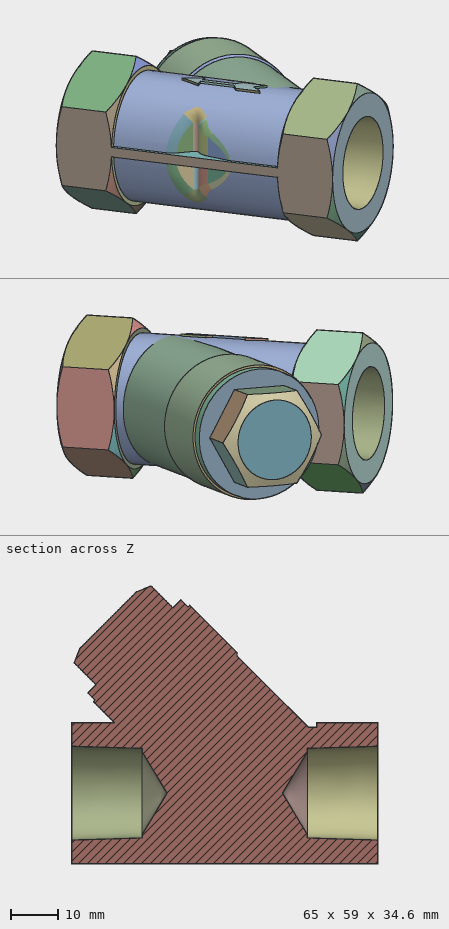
import cadquery as cq
import math

run_length = 65.0
body_diameter = 28.0
body_radius = body_diameter / 2
hex_flats = 30.0
hex_length = 13.0
hex_chamfer_angle = 30.0

socket_mouth_radius = 9.95
socket_floor_radius = 9.5
socket_depth = 14.95
drill_radius = 8.8
drill_point_angle = 118.0
drill_cone_depth = drill_radius / math.tan(math.radians(drill_point_angle / 2))

branch_angle = 135.0
branch_x = 12.0
collar_radius = 14.5
collar_start = 27.2
collar_end = 42.0
collar_step = collar_radius - body_radius
flange_end = 44.15
cap_end = 52.0
cap_flats = 20.0
cap_face_radius = 8.6
cap_chamfer = 1.3

arrow_height = 0.45
arrow_y = -1.9
arrow_half_width = 1.7
arrow_shaft_half_width = 0.49
arrow_tip_x = -9.1
arrow_head_x = -4.55
arrow_shaft_end_x = 3.25
arrow_fletch_x = 4.3
arrow_notch_x = 7.8
arrow_tail_x = 10.0

dent_crest = (-1.75, -9.8)
dent_crest_radius = 0.85
dent_knee = (0.3, -12.3)
dent_knee_radius = 5.8
dent_exit_slope = 0.23
dent_run = 10.4
dent_edge_radius = 2.85
rib_thickness = 2.1


def hex_radius(flats):
    """Corner radius of a hexagon from its width across flats."""
    return flats / math.sqrt(3)


def cone_drop(flats, angle):
    """Axial drop of a chamfer cone that runs from the flats out to the corners."""
    return (hex_radius(flats) - flats / 2) * math.tan(math.radians(angle))


def revolved_x(points):
    """Revolve (x, radius) points about the X axis."""
    return cq.Workplane("XY").polyline(points).close().revolve(360, (0, 0, 0), (1, 0, 0))


def end_hex(start_x):
    """Hexagon with corners up and down, chamfered at both of its ends."""
    end_x = start_x + hex_length
    corner = hex_radius(hex_flats)
    drop = cone_drop(hex_flats, hex_chamfer_angle)
    prism = (
        cq.Workplane("YZ", origin=(start_x, 0, 0))
        .polygon(6, 2 * corner)
        .extrude(hex_length)
        .rotate((0, 0, 0), (1, 0, 0), 90)
    )
    envelope = revolved_x([
        (start_x, 0),
        (start_x, hex_flats / 2),
        (start_x + drop, corner),
        (end_x - drop, corner),
        (end_x, hex_flats / 2),
        (end_x, 0),
    ])
    return prism.intersect(envelope)


def dented_body():
    """Run cylinder with the dent cut across it and its rim rounded, mirrored about Z = 0."""
    body_length = run_length - hex_length
    body = cq.Workplane("YZ").circle(body_radius).extrude(body_length / 2, both=True)
    crest_x, crest_y = dent_crest
    knee_x, knee_y = dent_knee
    start_x = crest_x - dent_run
    end_x = knee_x + dent_run
    floor_profile = [
        (start_x, crest_y - dent_run),
        dent_crest,
        dent_knee,
        (end_x, knee_y - dent_exit_slope * dent_run),
        (end_x, crest_y - dent_run),
    ]
    dent = cq.Workplane("XY").polyline(floor_profile).close().extrude(body_radius, both=True)
    dent = dent.edges(cq.NearestToPointSelector((crest_x, crest_y, 0))).fillet(dent_crest_radius)
    dent = dent.edges(cq.NearestToPointSelector((knee_x, knee_y, 0))).fillet(dent_knee_radius)
    dented = body.cut(dent)
    rim = dented.edges(cq.selectors.BoxSelector(
        (start_x, -body_radius, -body_radius),
        (end_x, crest_y + 0.65, body_radius),
    )).edges("not #Z").edges("not |Z")
    lower_space = cq.Workplane("XY").rect(body_length, 3 * body_radius).extrude(-2 * body_radius)
    lower_half = rim.fillet(dent_edge_radius).intersect(lower_space)
    return lower_half.union(lower_half.mirror("XY"))


def rib():
    """Flat rib between the hexagons, level with their lower flats."""
    depth = hex_flats / 2 - drill_radius
    return cq.Workplane("XY").box(run_length - hex_length, depth, rib_thickness).translate(
        (0, -hex_flats / 2 + depth / 2, 0)
    )


def branch():
    """Angled branch with collar, flange and hexagon cap."""
    tube = revolved_x([
        (0, 0),
        (0, body_radius),
        (collar_start, body_radius),
        (collar_start + collar_step, collar_radius),
        (collar_end, collar_radius),
        (collar_end, body_radius),
        (flange_end, body_radius),
        (flange_end, 0),
    ])
    corner = hex_radius(cap_flats)
    prism = cq.Workplane("YZ").polygon(6, 2 * corner).extrude(cap_end)
    envelope = revolved_x([
        (0, 0),
        (0, corner),
        (cap_end - cap_chamfer, corner),
        (cap_end, cap_face_radius),
        (cap_end, 0),
    ])
    whole = tube.union(prism.intersect(envelope))
    return whole.rotate((0, 0, 0), (0, 0, 1), branch_angle).translate((branch_x, 0, 0))


def arrow():
    """Flow arrow wrapped on the cylinder, pointing to -X."""
    lower_edge = [
        (arrow_tip_x, 0),
        (arrow_head_x, -arrow_half_width),
        (arrow_head_x, -arrow_shaft_half_width),
        (arrow_shaft_end_x, -arrow_shaft_half_width),
        (arrow_fletch_x, -arrow_half_width),
        (arrow_tail_x, -arrow_half_width),
        (arrow_notch_x, 0),
    ]
    upper_edge = [(x, -y) for x, y in reversed(lower_edge[1:-1])]
    outline = cq.Workplane("XY", origin=(0, arrow_y, 0)).polyline(lower_edge + upper_edge).close()
    shell = cq.Workplane("YZ").circle(body_radius + arrow_height).extrude(arrow_tail_x, both=True)
    return outline.extrude(body_radius + 2 * arrow_height).intersect(shell)


def socket():
    """Tapered socket with a drilled cone beyond its floor, entering at the -X end."""
    mouth_x = -run_length / 2
    floor_x = mouth_x + socket_depth
    return revolved_x([
        (mouth_x, 0),
        (mouth_x, socket_mouth_radius),
        (floor_x, socket_floor_radius),
        (floor_x, drill_radius),
        (floor_x + drill_cone_depth, 0),
    ])


result = (
    dented_body()
    .union(rib())
    .union(arrow())
    .union(branch())
    .union(end_hex(-run_length / 2))
    .union(end_hex(run_length / 2 - hex_length))
    .cut(socket())
    .cut(socket().mirror("YZ"))
)